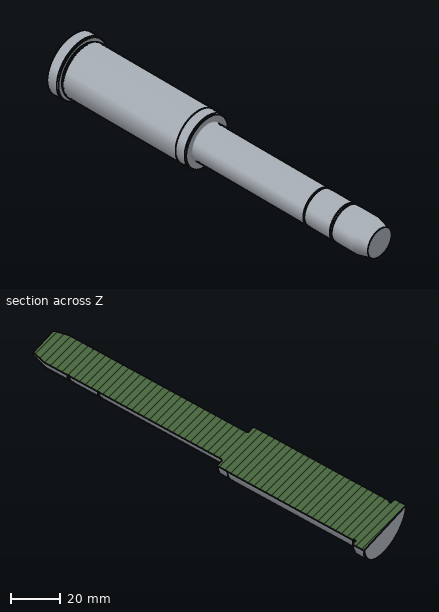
import cadquery as cq

total_length = 171.0

head_diameter = 30.0
head_length = 6.0
edge_chamfer = 0.5
face_chamfer_length = 0.2

shank_diameter = 26.0
shank_end = 75.0
lead_diameter = 25.8
lead_length = 5.5

pin_diameter = 18.0
root_radius = 0.5
tip_diameter = 14.4
tip_length = 7.0

neck_width = 1.0
neck_depth = 0.5

pin_grooves = (
    (136.8, 0.5),
    (151.5, 1.0),
)
pin_groove_depth = 0.2

head_radius = head_diameter / 2
shank_radius = shank_diameter / 2
lead_radius = lead_diameter / 2
pin_radius = pin_diameter / 2
tip_radius = tip_diameter / 2
lead_start = shank_end - lead_length


def turned_body():
    """Revolve the stepped outline of head, shank, pin and tapered tip."""
    outline = (
        cq.Workplane("XY")
        .lineTo(0, head_radius - edge_chamfer)
        .lineTo(face_chamfer_length, head_radius)
        .lineTo(head_length - edge_chamfer, head_radius)
        .lineTo(head_length, head_radius - edge_chamfer)
        .lineTo(head_length, shank_radius)
        .lineTo(lead_start, shank_radius)
        .lineTo(lead_start, lead_radius)
        .lineTo(shank_end - edge_chamfer, lead_radius)
        .lineTo(shank_end, lead_radius - edge_chamfer)
        .lineTo(shank_end, pin_radius + root_radius)
        .radiusArc((shank_end + root_radius, pin_radius), -root_radius)
        .lineTo(total_length - tip_length, pin_radius)
        .lineTo(total_length, tip_radius)
        .lineTo(total_length, 0)
        .close()
    )
    return outline.revolve(360, (0, 0, 0), (1, 0, 0))


def ring_groove(surface_radius, start_x, width, depth):
    """Square-sided ring to remove from a cylinder of the given radius."""
    return (
        cq.Workplane("YZ", origin=(start_x, 0, 0))
        .circle(surface_radius + depth)
        .circle(surface_radius - depth)
        .extrude(width)
    )


body = turned_body().cut(ring_groove(shank_radius, head_length, neck_width, neck_depth))
for groove_start, groove_width in pin_grooves:
    body = body.cut(ring_groove(pin_radius, groove_start, groove_width, pin_groove_depth))

result = body.solids()